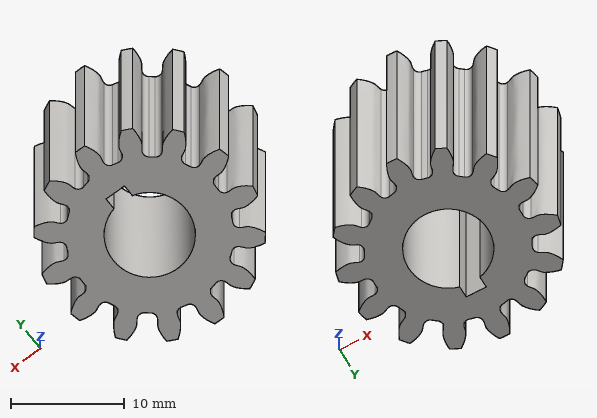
import cadquery as cq
import math

tooth_count = 14
outer_diameter = 20.32
face_width = 19.05
pressure_angle = math.radians(14.5)
root_radius = 7.38
root_fillet = 0.6
neck_half_width = 0.9
flank_steps = 6

bore_diameter = 8.0
key_width = 2.03
key_top = 5.02

outer_radius = outer_diameter / 2
module = outer_diameter / (tooth_count + 2)
pitch_radius = module * tooth_count / 2
base_radius = pitch_radius * math.cos(pressure_angle)
tooth_pitch = 2 * math.pi / tooth_count
fillet_center_radius = root_radius + root_fillet
fillet_angle = math.asin((neck_half_width + root_fillet) / fillet_center_radius)


def polar(radius, angle):
    """Point at a radius and an angle measured clockwise from +Y."""
    return (radius * math.sin(angle), radius * math.cos(angle))


def involute(angle):
    return math.tan(angle) - angle


def half_tooth_angle(radius):
    """Half of the tooth's angular thickness on the involute at a radius."""
    half_angle_at_pitch = tooth_pitch / 4
    roll = math.acos(base_radius / radius)
    return half_angle_at_pitch + involute(pressure_angle) - involute(roll)


def involute_points():
    """Right-hand involute from the base circle to the tip, closer together near the base."""
    span = outer_radius - base_radius
    radii = [base_radius + span * (i / flank_steps) ** 2 for i in range(flank_steps + 1)]
    return [polar(r, half_tooth_angle(r)) for r in radii]


def root_fillet_points():
    """Right-hand fillet: neck point, mid-point and root point, tangent at both ends."""
    center_x, center_y = polar(fillet_center_radius, fillet_angle)
    neck_direction = math.pi
    root_direction = 1.5 * math.pi - fillet_angle
    mid_direction = (neck_direction + root_direction) / 2
    return [
        (center_x + root_fillet * math.cos(a), center_y + root_fillet * math.sin(a))
        for a in (neck_direction, mid_direction, root_direction)
    ]


def turned(point, angle):
    """Point rotated clockwise about the gear axis."""
    x, y = point
    return (
        x * math.cos(angle) + y * math.sin(angle),
        y * math.cos(angle) - x * math.sin(angle),
    )


def turned_all(points, angle):
    return [turned(p, angle) for p in points]


def mirrored(points):
    """Points reflected across the tooth centreline, in reverse order."""
    return [(-x, y) for x, y in reversed(points)]


def gear_blank():
    """Toothed prism with one tooth centred on +Y."""
    right_fillet = root_fillet_points()
    left_fillet = mirrored(right_fillet)
    left_root = left_fillet[0]

    right_flank = involute_points()[::-1] + right_fillet[:1]
    left_flank = mirrored(right_flank)
    tip_roll = math.acos(base_radius / outer_radius)
    tip_lean = tip_roll - half_tooth_angle(outer_radius)
    neck_up, neck_down = (0, 1), (0, -1)
    tip_up = polar(1, tip_lean)
    tip_down = polar(-1, -tip_lean)

    outline = cq.Workplane("XY").moveTo(*left_root)
    for i in range(tooth_count):
        angle = i * tooth_pitch
        rising_tangents = turned_all([neck_up, tip_up], angle)
        falling_tangents = turned_all([tip_down, neck_down], angle)
        next_root = turned(left_root, angle + tooth_pitch)
        outline = (
            outline.threePointArc(*turned_all(left_fillet[1:], angle))
            .spline(turned_all(left_flank[1:], angle), tangents=rising_tangents, includeCurrent=True)
            .threePointArc(polar(outer_radius, angle), turned(right_flank[0], angle))
            .spline(turned_all(right_flank[1:], angle), tangents=falling_tangents, includeCurrent=True)
            .threePointArc(*turned_all(right_fillet[1:], angle))
            .threePointArc(polar(root_radius, angle + tooth_pitch / 2), next_root)
        )
    return outline.close().extrude(face_width)


def keyed_bore():
    """Through bore joined with its keyway slot."""
    bore = cq.Workplane("XY").circle(bore_diameter / 2).extrude(face_width)
    slot = cq.Workplane("XY").center(0, key_top / 2).rect(key_width, key_top).extrude(face_width)
    return bore.union(slot)


result = gear_blank().cut(keyed_bore())